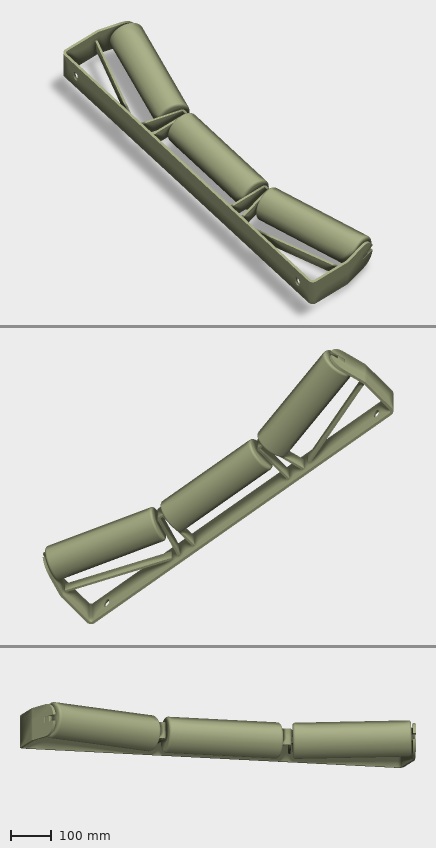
import cadquery as cq
import math

frame_length = 980.0
frame_height = 80.0
frame_thickness = 7.0
corner_radius = 14.0
arm_bend_radius = 22.0
trough_angle = 15.0
arm_tip_y = 214.0
arm_tip_radius = 37.0
mount_slot_width = 17.0
mount_slot_height = 26.0
mount_slot_inset = 57.0

roller_length = 291.0
roller_radius = 44.5
roller_edge_radius = 6.0
roller_end_gap = 4.0
shaft_depth = 20.0
shaft_width = 15.0
center_roller_y = 101.0
center_roller_z = -6.2
side_roller_x = 320.0
side_roller_y = 143.0
side_roller_z = -2.45
side_roller_tilt = 1.4

bracket_thickness = 6.0
bracket_height = 40.0
bracket_top_y = 127.0
bracket_bend_radius = 8.0

brace_thickness = 6.0
brace_height = 29.0
brace_angle = 20.0
brace_foot_x = 220.5

half_length = frame_length / 2
lean = math.radians(trough_angle)
support_distance = roller_length / 2 + roller_end_gap
shaft_length = 2 * (support_distance + bracket_thickness)
opening_length = shaft_length + 2 * bracket_thickness
arm_bend_y = side_roller_y + (
    support_distance + frame_thickness - (half_length - side_roller_x) * math.cos(lean)
) / math.sin(lean)


def place_on_side(shape):
    """Move a shape built about the X axis onto the left roller axis."""
    return (
        shape.rotate((0, 0, 0), (0, 1, 0), side_roller_tilt)
        .rotate((0, 0, 0), (0, 0, 1), -trough_angle)
        .translate((-side_roller_x, side_roller_y, side_roller_z))
    )


def place_in_center(shape):
    """Move a shape built about the X axis onto the centre roller axis."""
    return shape.translate((0, center_roller_y, center_roller_z))


def with_mirror(left):
    """Return the left part and its right-hand copy."""
    return [left, left.mirror("YZ")]


def extrude_centered(points, height):
    """Extrude a closed XY outline equally above and below Z = 0."""
    return cq.Workplane("XY").polyline(points).close().extrude(height / 2, both=True)


def fillet_edge_near(body, point, radius):
    """Round the one edge whose middle lies nearest to the point."""
    return body.edges(cq.selectors.NearestToPointSelector(point)).fillet(radius)


def shaft(length):
    return cq.Workplane("XY").box(length, shaft_depth, shaft_width)


def roller():
    drum = (
        cq.Workplane("YZ")
        .workplane(offset=-roller_length / 2)
        .circle(roller_radius)
        .extrude(roller_length)
        .faces("<X or >X")
        .edges()
        .fillet(roller_edge_radius)
    )
    return drum.union(shaft(shaft_length))


def bent_strip():
    """Back strip and both arms, with rounded bends and arm tips."""
    inner_x = half_length - frame_thickness
    inner_bend_y = arm_bend_y - frame_thickness * math.tan(lean / 2)
    inner_corner_radius = corner_radius - frame_thickness
    inner_bend_radius = arm_bend_radius - frame_thickness
    tip_x = half_length - (arm_tip_y - arm_bend_y) * math.tan(lean)
    tip_inner_x = tip_x - frame_thickness * math.cos(lean)
    tip_inner_y = arm_tip_y - frame_thickness * math.sin(lean)

    right_half = [
        (half_length, 0),
        (half_length, arm_bend_y),
        (tip_x, arm_tip_y),
        (tip_inner_x, tip_inner_y),
        (inner_x, inner_bend_y),
        (inner_x, frame_thickness),
    ]
    left_half = [(-x, y) for x, y in reversed(right_half)]
    strip = extrude_centered(right_half + left_half, frame_height)

    bends = [
        (half_length, 0, corner_radius),
        (inner_x, frame_thickness, inner_corner_radius),
        (half_length, arm_bend_y, arm_bend_radius),
        (inner_x, inner_bend_y, inner_bend_radius),
    ]
    tip_middle_x = (tip_x + tip_inner_x) / 2
    tip_middle_y = (arm_tip_y + tip_inner_y) / 2
    for side in (-1, 1):
        for x, y, radius in bends:
            strip = fillet_edge_near(strip, (side * x, y, 0), radius)
        for z in (-frame_height / 2, frame_height / 2):
            strip = fillet_edge_near(strip, (side * tip_middle_x, tip_middle_y, z), arm_tip_radius)
    return strip


def arm_slot():
    """Shaft slot through the left arm, open at the tip."""
    slot = cq.Workplane("XY").box(
        4 * frame_thickness, 2 * roller_radius, shaft_width, centered=(True, False, True)
    )
    return place_on_side(slot.translate((-support_distance, -shaft_depth / 2, 0)))


def mount_slots():
    slot_x = half_length - mount_slot_inset
    return (
        cq.Workplane("XZ")
        .pushPoints([(-slot_x, 0), (slot_x, 0)])
        .slot2D(mount_slot_height, mount_slot_width, 90)
        .extrude(-frame_thickness)
    )


def frame():
    body = bent_strip().cut(mount_slots())
    for slot in with_mirror(arm_slot()):
        body = body.cut(slot)
    return body


def bracket():
    """Left bracket, carrying the inner end of the left roller and one centre roller end."""

    def leg_x(y):
        """X of the leaning leg face that looks at the outer roller."""
        along = support_distance / math.cos(lean) + (y - side_roller_y) * math.tan(lean)
        return along - side_roller_x

    foot_y = frame_thickness
    under_top_y = bracket_top_y - bracket_thickness
    leaning_width = bracket_thickness / math.cos(lean)
    upright_x = -support_distance
    outline = [
        (leg_x(foot_y), foot_y),
        (leg_x(bracket_top_y), bracket_top_y),
        (upright_x, bracket_top_y),
        (upright_x, foot_y),
        (upright_x - bracket_thickness, foot_y),
        (upright_x - bracket_thickness, under_top_y),
        (leg_x(under_top_y) + leaning_width, under_top_y),
        (leg_x(foot_y) + leaning_width, foot_y),
    ]
    body = extrude_centered(outline, bracket_height)
    for x in (leg_x(bracket_top_y), upright_x):
        body = fillet_edge_near(body, (x, bracket_top_y, 0), bracket_bend_radius)
    opening = shaft(opening_length)
    return body.cut(place_on_side(opening)).cut(place_in_center(opening))


def brace():
    """Left brace, one corner resting on the back strip and one on the arm."""
    slope = math.radians(brace_angle)
    span_x = half_length - frame_thickness - brace_foot_x
    length = span_x / math.cos(slope)
    bar = cq.Workplane("XY").box(
        length, brace_thickness, brace_height, centered=(False, False, True)
    )
    return (
        bar.translate((-length, 0, 0))
        .rotate((0, 0, 0), (0, 0, 1), -brace_angle)
        .translate((-brace_foot_x, frame_thickness, 0))
    )


center_roller = place_in_center(roller())
side_rollers = with_mirror(place_on_side(roller()))
brackets = with_mirror(bracket())
braces = with_mirror(brace())
parts = [frame(), center_roller, *side_rollers, *brackets, *braces]
result = cq.Compound.makeCompound([part.val() for part in parts])